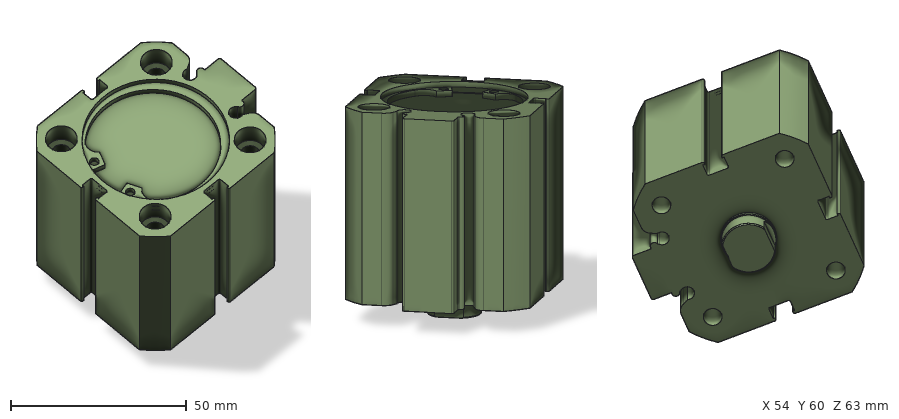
import cadquery as cq
import math

OVERALL_DEPTH = 60.0
OVERALL_HEIGHT = 63.0

BODY_SIDE = 54.0
BODY_HEIGHT = 56.0
HALF_SIDE = BODY_SIDE / 2
CORNER_RADIUS = 34.0

RAIL_WIDTH = 15.0
RAIL_TOP_Y = OVERALL_DEPTH - HALF_SIDE
RAIL_EDGE_RADIUS = 0.6

SENSOR_X = 9.3
SENSOR_Y = 22.8
SENSOR_RADIUS = 2.0
LIP_X = 7.9
LIP_RADIUS = 1.2
LIP_Y = HALF_SIDE - LIP_RADIUS
LIP_END_ANGLE = -75.0
WAIST_ANGLE = 135.0
FLANK_ANGLE = 20.0
MOUTH_X = 14.85
MOUTH_RADIUS = 3.0
MOUTH_Y = HALF_SIDE - MOUTH_RADIUS
MOUTH_END_ANGLE = 158.0

SLOT_DEPTH = 4.5
SLOT_WIDTH = 6.55
SLOT_MOUTH_WIDTH = 5.35
SLOT_LIP = 0.9
SLOT_LIP_RADIUS = 0.5
SLOT_FLOOR_RADIUS = 0.5

HOLE_SPACING = 38.0
HOLE_DIAMETER = 5.3
COUNTERBORE_DIAMETER = 9.0
COUNTERBORE_DEPTH = 6.6

BORE_RADIUS = 21.0
RING_DEPTH = 1.65
RING_THICKNESS = 1.75
RING_OUTER_RADIUS = 22.25
RING_INNER_RADIUS = 19.35
RING_INNER_Y = -1.15
RING_INNER_END_ANGLE = 50.0
EAR_INNER_RADIUS = 16.3
EAR_GAP_ANGLE = 15.9
EAR_OUTER_ANGLE = 32.1
EAR_HOLE_X = 7.4
EAR_HOLE_Y = -17.2
EAR_HOLE_DIAMETER = 2.65
EAR_NOTCH_X = 11.65
EAR_NOTCH_Y = -15.25
RING_TURN = -0.7
CAP_THICKNESS = 7.55
RING_BOTTOM_Z = BODY_HEIGHT - RING_DEPTH - RING_THICKNESS
CAP_BOTTOM_Z = RING_BOTTOM_Z - CAP_THICKNESS

ROD_RADIUS = 8.0
ROD_LENGTH = OVERALL_HEIGHT - BODY_HEIGHT
ROD_SHOULDER = 1.0
ROD_STEP = 0.25
ROD_END_CHAMFER = 0.3
FLAT_SPACING = 13.0
FLAT_TOP_Z = -2.6


def on_circle(center_x, center_y, radius, angle):
    """Point on a circle at an angle in degrees from the +X direction."""
    turn = math.radians(angle)
    return center_x + radius * math.cos(turn), center_y + radius * math.sin(turn)


def gap_point(radius, angle, center_y=0.0):
    """Point on a circle centred on the Y axis, at an angle in degrees from -Y towards +X."""
    return on_circle(0, center_y, radius, angle - 90)


def make_t_slot():
    """Cutter for the T-slot in the -Y face."""
    mouth_y = -HALF_SIDE
    slot = (
        cq.Workplane("XY")
        .center(0, mouth_y + (SLOT_LIP + SLOT_DEPTH) / 2)
        .rect(SLOT_WIDTH, SLOT_DEPTH - SLOT_LIP)
        .extrude(BODY_HEIGHT)
        .edges("|Z and >Y")
        .fillet(SLOT_FLOOR_RADIUS)
    )
    half_mouth = SLOT_MOUTH_WIDTH / 2
    flare = SLOT_LIP_RADIUS
    bend = flare * (1 - math.sqrt(0.5))
    mouth = (
        cq.Workplane("XY")
        .moveTo(-half_mouth - flare, mouth_y)
        .threePointArc((-half_mouth - bend, mouth_y + bend), (-half_mouth, mouth_y + flare))
        .lineTo(-half_mouth, mouth_y + SLOT_LIP)
        .lineTo(half_mouth, mouth_y + SLOT_LIP)
        .lineTo(half_mouth, mouth_y + flare)
        .threePointArc((half_mouth + bend, mouth_y + bend), (half_mouth + flare, mouth_y))
        .close()
        .extrude(BODY_HEIGHT)
    )
    return slot.union(mouth)


def make_sensor_groove():
    """Cutter for the undercut sensor groove on the +X side of the rail."""
    pocket = cq.Workplane("XY").center(SENSOR_X, SENSOR_Y).circle(SENSOR_RADIUS).extrude(BODY_HEIGHT)
    waist = on_circle(SENSOR_X, SENSOR_Y, SENSOR_RADIUS, WAIST_ANGLE)
    neck = (
        cq.Workplane("XY")
        .moveTo(LIP_X, HALF_SIDE)
        .threePointArc((LIP_X + LIP_RADIUS, LIP_Y), on_circle(LIP_X, LIP_Y, LIP_RADIUS, LIP_END_ANGLE))
        .lineTo(*waist)
        .lineTo(*on_circle(SENSOR_X, SENSOR_Y, SENSOR_RADIUS, FLANK_ANGLE))
        .lineTo(*on_circle(MOUTH_X, MOUTH_Y, MOUTH_RADIUS, MOUTH_END_ANGLE))
        .threePointArc(
            on_circle(MOUTH_X, MOUTH_Y, MOUTH_RADIUS, (MOUTH_END_ANGLE + 90) / 2),
            (MOUTH_X, HALF_SIDE),
        )
        .close()
        .extrude(BODY_HEIGHT)
    )
    return pocket.union(neck)


def make_housing():
    """Body with its rail, grooves, mounting holes, bore and rod hole."""
    rounded_corners = cq.Workplane("XY").circle(CORNER_RADIUS).extrude(BODY_HEIGHT)
    body = cq.Workplane("XY").rect(BODY_SIDE, BODY_SIDE).extrude(BODY_HEIGHT).intersect(rounded_corners)

    rail = (
        cq.Workplane("XY")
        .center(0, RAIL_TOP_Y / 2)
        .rect(RAIL_WIDTH, RAIL_TOP_Y)
        .extrude(BODY_HEIGHT)
        .edges("|Z and >Y")
        .fillet(RAIL_EDGE_RADIUS)
    )
    body = body.union(rail)

    groove = make_sensor_groove()
    body = body.cut(groove).cut(groove.mirror("YZ"))

    slot = make_t_slot()
    for angle in (-90, 0, 90):
        body = body.cut(slot.rotate((0, 0, 0), (0, 0, 1), angle))

    body = (
        body.faces(">Z")
        .workplane(origin=(0, 0, BODY_HEIGHT))
        .rect(HOLE_SPACING, HOLE_SPACING, forConstruction=True)
        .vertices()
        .cboreHole(HOLE_DIAMETER, COUNTERBORE_DIAMETER, COUNTERBORE_DEPTH)
    )

    bore = cq.Workplane("XY").workplane(offset=CAP_BOTTOM_Z).circle(BORE_RADIUS).extrude(BODY_HEIGHT)
    ring_groove = (
        cq.Workplane("XY").workplane(offset=RING_BOTTOM_Z).circle(RING_OUTER_RADIUS).extrude(RING_THICKNESS)
    )
    rod_hole = cq.Workplane("XY").circle(ROD_RADIUS).extrude(BODY_HEIGHT)
    return body.cut(bore).cut(ring_groove).cut(rod_hole)


def make_end_cap():
    """Disc closing the bore under the retaining ring."""
    return cq.Workplane("XY").workplane(offset=CAP_BOTTOM_Z).circle(BORE_RADIUS).extrude(CAP_THICKNESS)


def make_retaining_ring():
    """Open ring with two eyed ears facing the gap on the -Y side."""
    end = RING_INNER_END_ANGLE
    ring = (
        cq.Workplane("XY")
        .workplane(offset=RING_BOTTOM_Z)
        .moveTo(*gap_point(RING_OUTER_RADIUS, EAR_GAP_ANGLE))
        .threePointArc((0, RING_OUTER_RADIUS), gap_point(RING_OUTER_RADIUS, -EAR_GAP_ANGLE))
        .lineTo(*gap_point(EAR_INNER_RADIUS, -EAR_GAP_ANGLE))
        .lineTo(*gap_point(EAR_INNER_RADIUS, -EAR_OUTER_ANGLE))
        .threePointArc((-EAR_NOTCH_X, EAR_NOTCH_Y), gap_point(RING_INNER_RADIUS, -end, RING_INNER_Y))
        .threePointArc((0, RING_INNER_Y + RING_INNER_RADIUS), gap_point(RING_INNER_RADIUS, end, RING_INNER_Y))
        .threePointArc((EAR_NOTCH_X, EAR_NOTCH_Y), gap_point(EAR_INNER_RADIUS, EAR_OUTER_ANGLE))
        .lineTo(*gap_point(EAR_INNER_RADIUS, EAR_GAP_ANGLE))
        .close()
        .extrude(RING_THICKNESS)
    )
    eyes = (
        cq.Workplane("XY")
        .workplane(offset=RING_BOTTOM_Z)
        .pushPoints([(-EAR_HOLE_X, EAR_HOLE_Y), (EAR_HOLE_X, EAR_HOLE_Y)])
        .circle(EAR_HOLE_DIAMETER / 2)
        .extrude(RING_THICKNESS)
    )
    return ring.cut(eyes).rotate((0, 0, 0), (0, 0, 1), RING_TURN)


def make_rod():
    """Rod from the end cap down through the body, with two wrench flats facing -Y and +Y."""
    tip_radius = ROD_RADIUS - ROD_STEP
    rod = (
        cq.Workplane("XZ")
        .moveTo(0, CAP_BOTTOM_Z)
        .lineTo(ROD_RADIUS, CAP_BOTTOM_Z)
        .lineTo(ROD_RADIUS, -ROD_SHOULDER)
        .lineTo(tip_radius, -ROD_SHOULDER - ROD_STEP)
        .lineTo(tip_radius, -ROD_LENGTH + ROD_END_CHAMFER)
        .lineTo(tip_radius - ROD_END_CHAMFER, -ROD_LENGTH)
        .lineTo(0, -ROD_LENGTH)
        .close()
        .revolve(360, (0, 0, 0), (0, 1, 0))
    )
    flat_y = FLAT_SPACING / 2
    flat_cut = (
        cq.Workplane("YZ")
        .moveTo(flat_y, -ROD_LENGTH)
        .lineTo(flat_y, FLAT_TOP_Z)
        .lineTo(flat_y - FLAT_TOP_Z, 0)
        .lineTo(flat_y - FLAT_TOP_Z, -ROD_LENGTH)
        .close()
        .extrude(ROD_RADIUS, both=True)
    )
    return rod.cut(flat_cut).cut(flat_cut.mirror("XZ"))


housing = make_housing()
end_cap = make_end_cap()
retaining_ring = make_retaining_ring()
rod = make_rod()

result = cq.Compound.makeCompound([housing.val(), end_cap.val(), retaining_ring.val(), rod.val()])